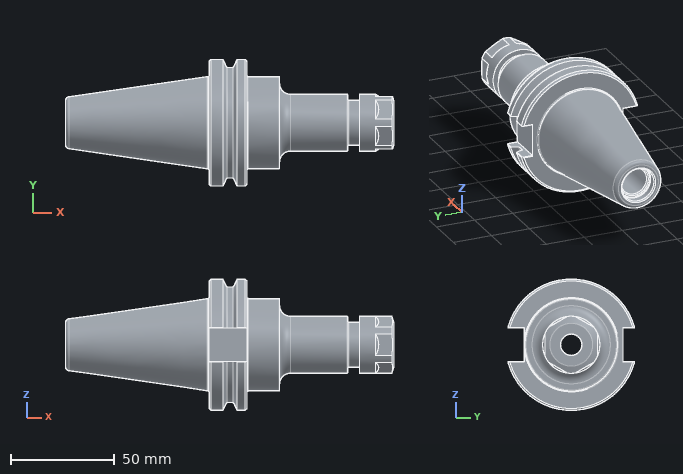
import cadquery as cq
import math

LENGTH = 158.2

TAPER_LENGTH = 68.2
TAPER_DIAMETER = 44.5
TAPER_RATIO = 7 / 24
TAPER_END_FILLET = 2.0

FLANGE_START = 69.2
FLANGE_END = 87.5
FLANGE_DIAMETER = 63.3
FLANGE_CHAMFER = 1.0
EDGE_FILLET = 0.5
GROOVE_CENTRE = 79.3
GROOVE_DIAMETER = 55.7
GROOVE_FLOOR_WIDTH = 3.2
GROOVE_MOUTH_WIDTH = 6.8
GROOVE_ROOT_FILLET = 0.6

SLOT_WIDTH = 16.1
SLOT_CHAMFER = 0.3
SLOT_FLOOR_FRONT = 22.6
SLOT_FLOOR_BACK = 25.0

COLLAR_DIAMETER = TAPER_DIAMETER
COLLAR_END = 103.2
SHANK_DIAMETER = 27.5
SHANK_FILLET = 5.0
SHANK_END = 136.0
NECK_DIAMETER = 21.8

BORE_DIAMETER = 10.1
THREAD_DIAMETER = 13.5
THREAD_DEPTH = 31.6
THREAD_MOUTH_DIAMETER = 14.7
THREAD_CHAMFER = (THREAD_MOUTH_DIAMETER - THREAD_DIAMETER) / 2
THREAD_CONE_LENGTH = 2.8
PILOT_DIAMETER = 16.8
PILOT_DEPTH = 4.5
PILOT_MOUTH_DIAMETER = 18.0
PILOT_CHAMFER = (PILOT_MOUTH_DIAMETER - PILOT_DIAMETER) / 2
PILOT_CONE_DIAMETER = 16.3
PILOT_CONE_LENGTH = 0.5

NUT_START = 141.5
NUT_DIAMETER = SHANK_DIAMETER
NUT_CONE_START = 157.1
NUT_FRONT_DIAMETER = 20.5
FLAT_START = 149.2
FLAT_RAMP_LENGTH = 1.6
FLATS = 6
ACROSS_FLATS = 25.5


def cylinder(start, end, diameter):
    """Solid cylinder along X between two stations."""
    return cq.Workplane("YZ", origin=(start, 0, 0)).circle(diameter / 2).extrude(end - start)


def cone(start, end, start_diameter, end_diameter):
    """Solid truncated cone along X between two stations."""
    profile = [(start, 0), (start, start_diameter / 2), (end, end_diameter / 2), (end, 0)]
    return cq.Workplane("XY").polyline(profile).close().revolve(360, (0, 0, 0), (1, 0, 0))


def make_taper():
    """Steep taper with a rounded small end."""
    small_diameter = TAPER_DIAMETER - TAPER_RATIO * TAPER_LENGTH
    taper = cone(0, TAPER_LENGTH, small_diameter, TAPER_DIAMETER)
    return taper.faces("<X").edges().fillet(TAPER_END_FILLET)


def make_groove():
    """V-shaped ring cutter with rounded root corners."""
    half_floor = GROOVE_FLOOR_WIDTH / 2
    half_mouth = GROOVE_MOUTH_WIDTH / 2
    profile = [
        (GROOVE_CENTRE - half_mouth, FLANGE_DIAMETER / 2),
        (GROOVE_CENTRE - half_floor, GROOVE_DIAMETER / 2),
        (GROOVE_CENTRE + half_floor, GROOVE_DIAMETER / 2),
        (GROOVE_CENTRE + half_mouth, FLANGE_DIAMETER / 2),
    ]
    ring = cq.Workplane("XY").polyline(profile).close().revolve(360, (0, 0, 0), (1, 0, 0))
    floor_edges = cq.selectors.RadiusNthSelector(0)
    return ring.edges(floor_edges).fillet(GROOVE_ROOT_FILLET)


def make_flange():
    """Flange disc with its groove and a concave fillet ring on each face where it meets the shank."""
    flange = cylinder(FLANGE_START, FLANGE_END, FLANGE_DIAMETER).edges().chamfer(FLANGE_CHAMFER)
    flange = flange.cut(make_groove())
    flange = flange.union(root_fillet(FLANGE_START, -1, COLLAR_DIAMETER))
    return flange.union(root_fillet(FLANGE_END, 1, COLLAR_DIAMETER))


def root_fillet(face, direction, diameter, radius=EDGE_FILLET):
    """Solid disc with a concave rim that blends a cylinder into the face it leaves along +X or -X."""
    rim = diameter / 2
    arc_middle = radius * (1 - math.sqrt(0.5))
    return (
        cq.Workplane("XY")
        .moveTo(face, 0)
        .lineTo(face, rim + radius)
        .threePointArc(
            (face + direction * arc_middle, rim + arc_middle),
            (face + direction * radius, rim),
        )
        .lineTo(face + direction * radius, 0)
        .close()
        .revolve(360, (0, 0, 0), (1, 0, 0))
    )


def drive_slot(side, floor):
    """Slot cutter from the floor outwards, with a 45 degree flare that chamfers the edges at the rim."""
    half_width = SLOT_WIDTH / 2
    rim = FLANGE_DIAMETER / 2
    flare_start = math.sqrt(rim**2 - half_width**2) - SLOT_CHAMFER
    flare_end = half_width + rim - flare_start
    profile = [
        (side * floor, half_width),
        (side * flare_start, half_width),
        (side * rim, flare_end),
        (side * rim, -flare_end),
        (side * flare_start, -half_width),
        (side * floor, -half_width),
    ]
    start = FLANGE_START - EDGE_FILLET
    length = FLANGE_END + EDGE_FILLET - start
    return cq.Workplane("YZ", origin=(start, 0, 0)).polyline(profile).close().extrude(length)


def slot_face_chamfer(side, floor, face, direction):
    """Wedge cutter that chamfers both side walls of a slot where they meet a flange face."""
    half_width = SLOT_WIDTH / 2
    rim = FLANGE_DIAMETER / 2
    profile = [
        (face, half_width + SLOT_CHAMFER),
        (face, -half_width - SLOT_CHAMFER),
        (face - direction * SLOT_CHAMFER, -half_width),
        (face - direction * SLOT_CHAMFER, half_width),
    ]
    wedge_start = floor if side > 0 else -rim
    wedge = cq.Workplane("XZ").polyline(profile).close().extrude(floor - rim)
    return wedge.translate((0, wedge_start, 0))


def cut_drive_slots(holder):
    """Cut the two drive slots, which differ in depth, and chamfer their edges."""
    for side, floor in ((-1, SLOT_FLOOR_FRONT), (1, SLOT_FLOOR_BACK)):
        holder = holder.cut(drive_slot(side, floor))
        holder = holder.cut(slot_face_chamfer(side, floor, FLANGE_START, -1))
        holder = holder.cut(slot_face_chamfer(side, floor, FLANGE_END, 1))
    return holder


def make_shank():
    """Collar, slimmer shank and neck, blended by concave fillets."""
    collar = cylinder(TAPER_LENGTH, COLLAR_END, COLLAR_DIAMETER).faces(">X").edges().fillet(EDGE_FILLET)
    shank = cylinder(COLLAR_END, SHANK_END, SHANK_DIAMETER).faces(">X").edges().fillet(EDGE_FILLET)
    neck = cylinder(SHANK_END, NUT_START, NECK_DIAMETER)
    shank_blend = root_fillet(COLLAR_END, 1, SHANK_DIAMETER, SHANK_FILLET)
    neck_blend = root_fillet(SHANK_END, 1, NECK_DIAMETER)
    return collar.union(shank).union(neck).union(shank_blend).union(neck_blend)


def make_bore():
    """Through hole, thread hole, pilot hole and the cones between them."""
    thread_end = THREAD_DEPTH + THREAD_CONE_LENGTH
    pilot_end = PILOT_DEPTH + PILOT_CONE_LENGTH
    thread_mouth_end = pilot_end + THREAD_CHAMFER
    bore = cylinder(0, NUT_START, BORE_DIAMETER)
    bore = bore.union(cylinder(0, THREAD_DEPTH, THREAD_DIAMETER))
    bore = bore.union(cone(THREAD_DEPTH, thread_end, THREAD_DIAMETER, BORE_DIAMETER))
    bore = bore.union(cone(pilot_end, thread_mouth_end, THREAD_MOUTH_DIAMETER, THREAD_DIAMETER))
    bore = bore.union(cylinder(0, PILOT_DEPTH, PILOT_DIAMETER))
    bore = bore.union(cone(PILOT_DEPTH, pilot_end, PILOT_DIAMETER, PILOT_CONE_DIAMETER))
    return bore.union(cone(0, PILOT_CHAMFER, PILOT_MOUTH_DIAMETER, PILOT_DIAMETER))


def make_holder():
    """Taper, shank and flange as one solid, with the slots and the bore removed."""
    holder = make_taper().union(make_shank()).union(make_flange())
    return cut_drive_slots(holder).cut(make_bore())


def make_flat_cutter():
    """Everything outside the hexagon ahead of a conical ramp."""
    outside = cylinder(FLAT_START, LENGTH, NUT_DIAMETER + 1.6)
    ramp = cone(FLAT_START, FLAT_START + FLAT_RAMP_LENGTH, NUT_DIAMETER, ACROSS_FLATS)
    across_corners = ACROSS_FLATS / math.cos(math.pi / FLATS)
    hexagon = (
        cq.Workplane("YZ", origin=(FLAT_START, 0, 0))
        .polygon(FLATS, across_corners)
        .extrude(LENGTH - FLAT_START)
        .rotate((0, 0, 0), (1, 0, 0), 180 / FLATS)
    )
    return outside.cut(hexagon).cut(ramp)


def make_nut():
    """Round nut with wrench flats, a blunt conical front and a through hole."""
    nut = cylinder(NUT_START, NUT_CONE_START, NUT_DIAMETER)
    nut = nut.union(cone(NUT_CONE_START, LENGTH, NUT_DIAMETER, NUT_FRONT_DIAMETER))
    return nut.cut(make_flat_cutter()).cut(cylinder(NUT_START, LENGTH, BORE_DIAMETER))


holder = make_holder()
nut = make_nut()

result = cq.Compound.makeCompound([holder.val(), nut.val()])